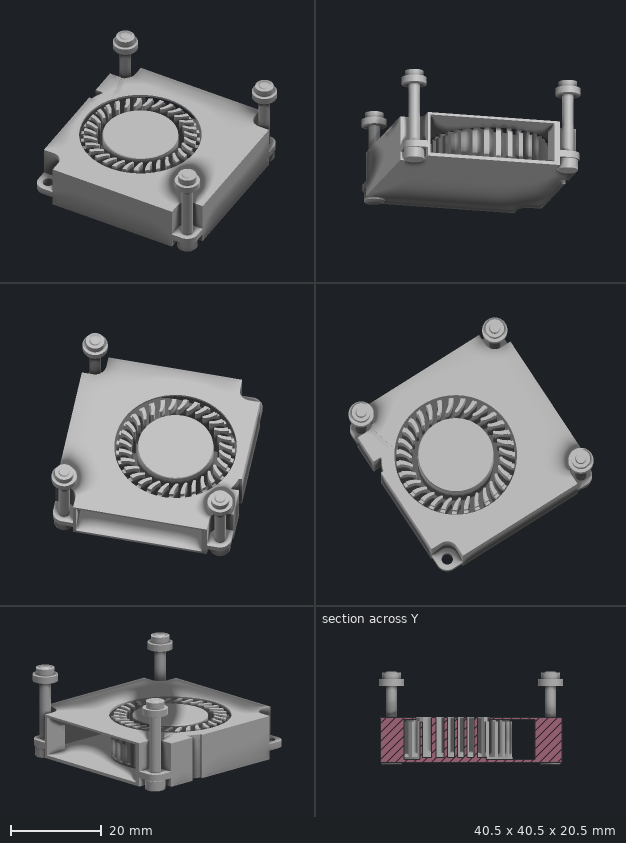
import cadquery as cq
import math

side = 40.0
height = 9.98
half_side = side / 2
floor_thickness = 0.75
cover_thickness = 0.53

mount_pitch = 35.0
mount_offset = mount_pitch / 2
mount_hole_diameter = 2.5
corner_radius = half_side - mount_offset
corner_size = 2 * corner_radius
lug_bottom = 2.0
lug_top = 3.5

fan_x = -4.0
inlet_diameter = 27.0
impeller_diameter = 26.2
blade_step_diameter = 25.0
blade_step_depth = 1.0
hub_diameter = 16.7
hub_chamfer = 0.15
base_disc_thickness = 0.5
blade_count = 31

chamber_left = -18.4
chamber_right = 17.65
outlet_left = -13.8
outlet_right = 14.4
tongue_x = -16.22
tongue_y = 9.75
outlet_shoulder_y = 11.35
outlet_neck_y = 14.4

groove_width = 0.97
groove_depth = 0.12
groove_length = 8.92
groove_angle = 104.4
groove_start_x = -14.93
groove_start_y = 7.9

notch_top_y = 8.5
notch_bottom_y = 5.55
notch_flat_depth = 1.62
notch_round_depth = 1.8
notch_round_y = 8.45
notch_tip_depth = 1.83
notch_tip_y = 8.2
notch_sweep_depth = 1.2
notch_sweep_y = 7.1
notch_mouth_depth = 0.65

screw_tip = 20.0
screw_tip_chamfer = 0.2
head_diameter = 4.5
head_height = 2.47
head_chamfer = 0.15

nut_bottom = 16.8
nut_flange_diameter = 5.55
nut_flange_height = 1.5
nut_boss_diameter = 4.1
nut_boss_height = 1.5

corner_signs = [(-1, -1), (1, -1), (1, 1), (-1, 1)]
mount_points = [(sx * mount_offset, sy * mount_offset) for sx, sy in corner_signs]
screw_points = mount_points[1:]


def cylinder(diameter, bottom, top, x=0, y=0):
    return cq.Workplane("XY", origin=(x, y, bottom)).circle(diameter / 2).extrude(top - bottom)


def polar(radius, degrees):
    angle = math.radians(degrees)
    return (radius * math.cos(angle), radius * math.sin(angle))


def make_corner_cut(bottom, top):
    """Square corner reliefs whose inner corner is rounded about the mounting hole."""
    relief = (
        cq.Workplane("XY", origin=(0, 0, bottom))
        .rect(corner_size, corner_size)
        .extrude(top - bottom)
        .edges("|Z and <X and <Y")
        .fillet(corner_radius)
    )
    cut = cq.Workplane("XY")
    for (sx, sy), (x, y) in zip(corner_signs, mount_points):
        turn = math.degrees(math.atan2(sy, sx)) - 45
        cut = cut.add(relief.rotate((0, 0, 0), (0, 0, 1), turn).translate((x, y, 0)))
    return cut.combine()


def make_chamber():
    """Air chamber: round at the -Y end, narrowed between the lugs at the outlet."""
    middle = (chamber_left + chamber_right) / 2
    radius = (chamber_right - chamber_left) / 2
    return (
        cq.Workplane("XY", origin=(0, 0, floor_thickness))
        .moveTo(chamber_left, 0)
        .threePointArc((middle, -radius), (chamber_right, 0))
        .lineTo(chamber_right, outlet_shoulder_y)
        .lineTo(outlet_right, outlet_neck_y)
        .lineTo(outlet_right, half_side)
        .lineTo(outlet_left, half_side)
        .lineTo(outlet_left, outlet_neck_y)
        .lineTo(tongue_x, tongue_y)
        .close()
        .extrude(height - cover_thickness - floor_thickness)
    )


def make_notch():
    """Full-height notch: a flat wall, a rounded tip and one sweeping arc back to the mouth."""
    return (
        cq.Workplane("XY")
        .moveTo(-half_side, notch_top_y)
        .lineTo(-half_side + notch_flat_depth, notch_top_y)
        .threePointArc(
            (-half_side + notch_round_depth, notch_round_y),
            (-half_side + notch_tip_depth, notch_tip_y),
        )
        .threePointArc(
            (-half_side + notch_sweep_depth, notch_sweep_y),
            (-half_side + notch_mouth_depth, notch_bottom_y),
        )
        .lineTo(-half_side, notch_bottom_y)
        .close()
        .extrude(height)
    )


def make_groove():
    return (
        cq.Workplane("XY")
        .box(groove_length, groove_width, groove_depth, centered=(False, True, False))
        .rotate((0, 0, 0), (0, 0, 1), groove_angle)
        .translate((groove_start_x, groove_start_y, height - groove_depth))
    )


def make_blade():
    """Curved blade on the Z axis, thick at the rim, with its outer end stepped down."""
    rim_radius = impeller_diameter / 2
    blade = (
        cq.Workplane("XY", origin=(0, 0, floor_thickness))
        .moveTo(*polar(rim_radius, 1.4))
        .threePointArc(polar(11.28, 3.1), polar(9.77, 8.4))
        .threePointArc(polar(9.65, 10.6), polar(10.05, 11.8))
        .threePointArc(polar(11.28, 7.6), polar(rim_radius, 5.9))
        .close()
        .extrude(height - floor_thickness)
    )
    step = cylinder(inlet_diameter, height - blade_step_depth, height).cut(
        cylinder(blade_step_diameter, height - blade_step_depth, height)
    )
    return blade.cut(step)


def make_impeller():
    """Hub, base disc and ring of blades, all standing on the housing floor."""
    hub = cylinder(hub_diameter, floor_thickness, height).faces(">Z").chamfer(hub_chamfer)
    impeller = cylinder(impeller_diameter, 0, floor_thickness + base_disc_thickness).union(hub)
    blade = make_blade().val()
    blades = [blade.rotate((0, 0, 0), (0, 0, 1), i * 360 / blade_count) for i in range(blade_count)]
    impeller = cq.Workplane(impeller.val().fuse(*blades))
    return impeller.translate((fan_x, 0, 0))


def make_blower():
    blower = cq.Workplane("XY").rect(side, side).extrude(height)
    blower = blower.edges("|Z").fillet(corner_radius)
    blower = blower.cut(make_corner_cut(0, lug_bottom)).cut(make_corner_cut(lug_top, height))
    for x, y in mount_points:
        blower = blower.cut(cylinder(mount_hole_diameter, lug_bottom, lug_top, x, y))
    blower = blower.cut(make_notch()).cut(make_chamber()).cut(make_groove())
    blower = blower.cut(cylinder(inlet_diameter, floor_thickness, height, fan_x))
    return blower.union(make_impeller())


def make_screw(x, y):
    shank = cylinder(mount_hole_diameter, lug_bottom, screw_tip, x, y)
    shank = shank.faces(">Z").chamfer(screw_tip_chamfer)
    head = cylinder(head_diameter, lug_bottom - head_height, lug_bottom, x, y)
    head = head.edges().chamfer(head_chamfer)
    return head.union(shank)


def make_nut(x, y):
    boss_bottom = nut_bottom + nut_flange_height
    boss_top = boss_bottom + nut_boss_height
    flange = cylinder(nut_flange_diameter, nut_bottom, boss_bottom, x, y)
    boss = cylinder(nut_boss_diameter, boss_bottom, boss_top, x, y)
    return flange.union(boss).cut(cylinder(mount_hole_diameter, nut_bottom, boss_top, x, y))


blower = make_blower()
screws = [make_screw(x, y).val() for x, y in screw_points]
nuts = [make_nut(x, y).val() for x, y in screw_points]

result = cq.Compound.makeCompound([blower.val(), *screws, *nuts])